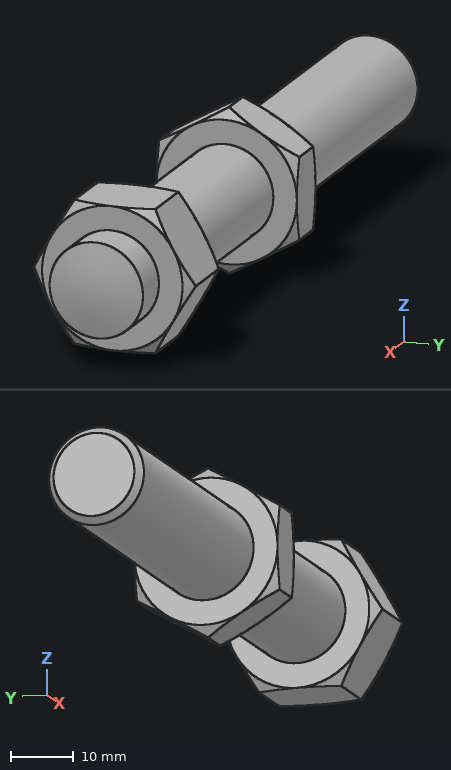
import cadquery as cq
import math

total_length = 120.0
stud_diameter = 16.0
end_chamfer = 1.2
dome_height = 1.2

across_flats = 24.0
across_corners = across_flats / math.cos(math.pi / 6)
nut_chamfer_angle = 30.0
thin_nut_start = 55.0
thin_nut_thickness = 8.0
thick_nut_start = 100.0
thick_nut_thickness = 12.0


def make_stud():
    """Revolve the stud: chamfered at the start, domed at the far end."""
    radius = stud_diameter / 2
    shoulder = total_length - dome_height
    dome_radius = (radius**2 + dome_height**2) / (2 * dome_height)
    dome_middle_y = radius / 2
    dome_middle_x = total_length - dome_radius + math.sqrt(dome_radius**2 - dome_middle_y**2)
    profile = (
        cq.Workplane("XY")
        .lineTo(0, radius - end_chamfer)
        .lineTo(end_chamfer, radius)
        .lineTo(shoulder, radius)
        .threePointArc((dome_middle_x, dome_middle_y), (total_length, 0))
        .close()
    )
    return profile.revolve(360, (0, 0, 0), (1, 0, 0))


def make_nut(start, thickness, rotation):
    """Hexagon with conically chamfered corners; rotation 0 puts corners on +Y and -Y."""
    hexagon = (
        cq.Workplane("YZ")
        .polygon(6, across_corners)
        .extrude(thickness)
        .rotate((0, 0, 0), (1, 0, 0), rotation)
    )
    face_radius = across_flats / 2
    corner_radius = across_corners / 2
    chamfer_depth = (corner_radius - face_radius) * math.tan(math.radians(nut_chamfer_angle))
    envelope = (
        cq.Workplane("XY")
        .lineTo(0, face_radius)
        .lineTo(chamfer_depth, corner_radius)
        .lineTo(thickness - chamfer_depth, corner_radius)
        .lineTo(thickness, face_radius)
        .lineTo(thickness, 0)
        .close()
        .revolve(360, (0, 0, 0), (1, 0, 0))
    )
    return hexagon.intersect(envelope).translate((start, 0, 0))


thin_nut = make_nut(thin_nut_start, thin_nut_thickness, 90)
thick_nut = make_nut(thick_nut_start, thick_nut_thickness, 0)
result = make_stud().union(thin_nut).union(thick_nut)